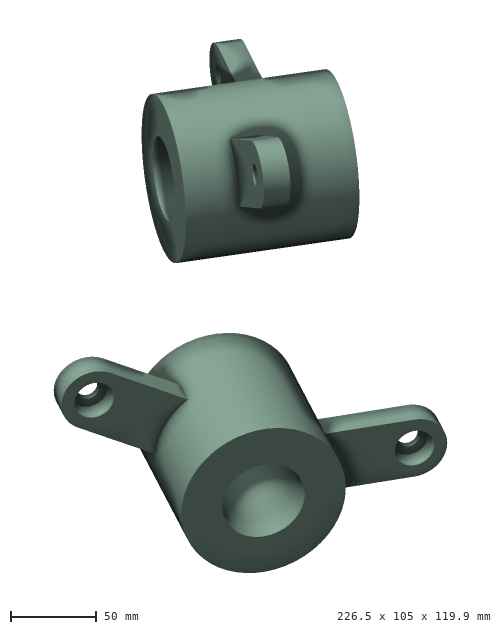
import cadquery as cq
import math

overall_length = 226.5
hub_diameter = 100.0
bore_diameter = 50.0
hub_length = 105.0
lug_width = 39.9
lug_thickness = 16.0
lug_hole_diameter = 13.0
counterbore_diameter = 24.0
counterbore_depth = 12.0
level_lug_angle = 180.0
raised_lug_angle = 30.0

level_lug_offset = 59.8
raised_lug_offset = 32.0

lug_reach = (overall_length - lug_width) / (1 + math.cos(math.radians(raised_lug_angle)))


def cylinder(diameter, length):
    """Cylinder along +Y, starting at the front face of the hub."""
    return cq.Workplane("XZ").circle(diameter / 2).extrude(-length)


def lug(angle, offset):
    """Round-ended arm from the hub axis, turned upward from +X, with an end hole counterbored from +Y."""
    bar = (
        cq.Workplane("XZ")
        .center(lug_reach / 2, 0)
        .rect(lug_reach, lug_width)
        .extrude(-lug_thickness)
    )
    end = cylinder(lug_width, lug_thickness).translate((lug_reach, 0, 0))
    hole = cylinder(lug_hole_diameter, lug_thickness).translate((lug_reach, 0, 0))
    counterbore = cylinder(counterbore_diameter, counterbore_depth).translate(
        (lug_reach, lug_thickness - counterbore_depth, 0)
    )
    arm = bar.union(end).cut(hole).cut(counterbore)
    return arm.rotate((0, 0, 0), (0, 1, 0), -angle).translate((0, offset, 0))


hub = cylinder(hub_diameter, hub_length)
level_lug = lug(level_lug_angle, level_lug_offset)
raised_lug = lug(raised_lug_angle, raised_lug_offset)

result = hub.union(level_lug).union(raised_lug).cut(cylinder(bore_diameter, hub_length))